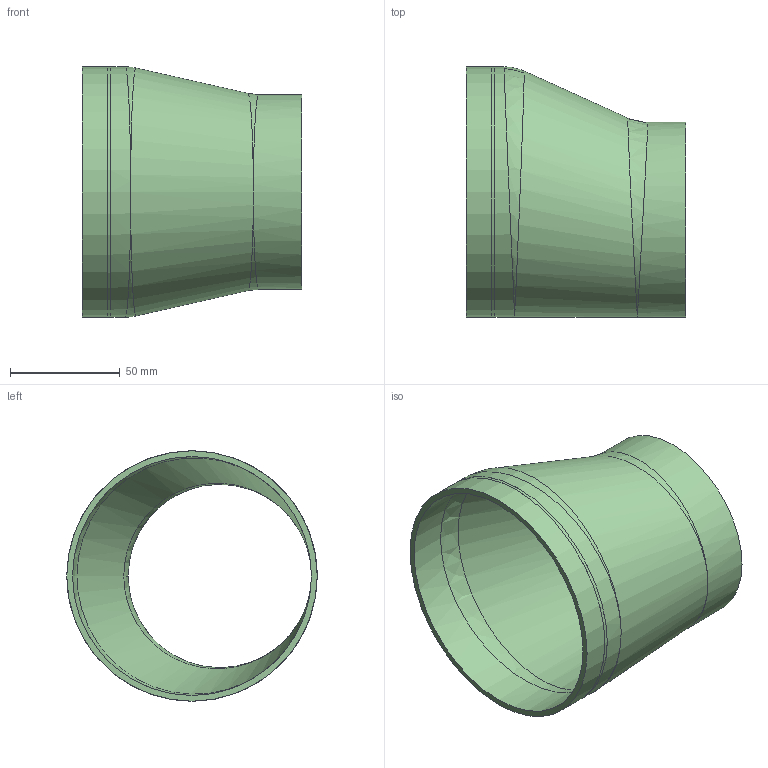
import cadquery as cq

LENGTH = 100.0
LARGE_DIAMETER = 114.3
SMALL_DIAMETER = 88.9
WALL = 2.6
LARGE_END_LENGTH = 22.0
SMALL_END_LENGTH = 22.0
BEND_RADIUS = 22.5

BAND_START = 11.5
BAND_WIDTH = 1.5
BAND_DIAMETER = 114.35

CONE_LENGTH = LENGTH - LARGE_END_LENGTH - SMALL_END_LENGTH
CONE_END = LARGE_END_LENGTH + CONE_LENGTH

BEND_CLEARANCE = 0.01
AXIS_OFFSET = -((LARGE_DIAMETER - SMALL_DIAMETER) / 2 - BEND_CLEARANCE)


def cylinder(start, length, diameter, axis_y=0.0):
    """Solid cylinder along +X."""
    plane = cq.Workplane("YZ", origin=(start, axis_y, 0))
    return plane.circle(diameter / 2).extrude(length)


def sharp_body(inset):
    """Solid reducer with sharp bends, its surface moved inward by inset."""
    large_diameter = LARGE_DIAMETER - 2 * inset
    small_diameter = SMALL_DIAMETER - 2 * inset

    large_end = cylinder(0, LARGE_END_LENGTH, large_diameter)
    small_end = cylinder(CONE_END, SMALL_END_LENGTH, small_diameter, AXIS_OFFSET)
    cone = (
        cq.Workplane("YZ", origin=(LARGE_END_LENGTH, 0, 0))
        .circle(large_diameter / 2)
        .workplane(offset=CONE_LENGTH)
        .center(AXIS_OFFSET, 0)
        .circle(small_diameter / 2)
        .loft(ruled=True)
    )
    return large_end.union(cone).union(small_end)


def round_bends(body):
    """Round the circular edges where the cone meets each straight end."""
    margin = BEND_RADIUS / 10
    cone_region = cq.selectors.BoxSelector(
        (LARGE_END_LENGTH - margin, -LARGE_DIAMETER, -LARGE_DIAMETER),
        (CONE_END + margin, LARGE_DIAMETER, LARGE_DIAMETER),
    )
    return body.edges("%CIRCLE").edges(cone_region).fillet(BEND_RADIUS)


def marking_band():
    """Raised ring, as thick as the pipe wall, around the large end."""
    bore = cylinder(BAND_START, BAND_WIDTH, LARGE_DIAMETER - 2 * WALL)
    return cylinder(BAND_START, BAND_WIDTH, BAND_DIAMETER).cut(bore)


outer = round_bends(sharp_body(0))
bore = round_bends(sharp_body(WALL))
result = outer.cut(bore).union(marking_band())